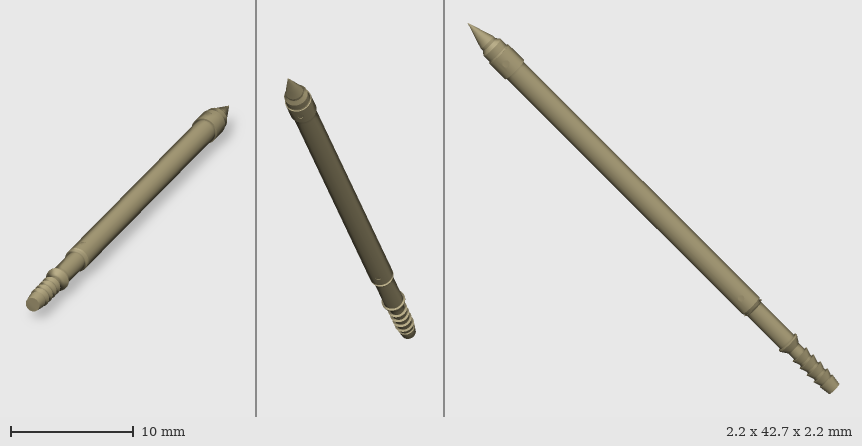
import cadquery as cq

length = 42.7
tip_y = length / 2

barrel_radius = 1.0
flare_radius = barrel_radius + 0.05
collar_radius = 1.1
tip_break_radius = 0.45
tip_band_radius = 0.73
flange_radius = barrel_radius
tail_radius = 0.8
bead_radius = barrel_radius
neck_radius = 0.6
barb_radius = tail_radius
last_barb_radius = 0.73

tip_break = 1.45
tip_band_start = 2.25
tip_band_end = 2.5
barrel_start = 2.85
flare_start = 3.5
collar_start = 3.65
collar_end = 5.45
barrel_taper_start = 32.95
flange_start = 33.2
tail_start = 33.35
bead_start = 37.25
bead_end = 37.35
neck_start = 37.95
first_barb = 38.7
last_barb = 41.75

barb_count = 4
barb_pitch = 0.8
barb_taper_length = 0.6

dimple_depth = 0.05
collar_dimple = 4.5
collar_dimple_radius = 0.3
barrel_dimple = 31.85
barrel_dimple_radius = 0.25


def barb_outline(start, radius, end):
    """Square shoulder, then a taper back down to the neck radius."""
    return [(neck_radius, start), (radius, start), (neck_radius, end)]


def probe_outline():
    """Half outline as (radius, distance from tip) points."""
    points = [
        (0, 0),
        (tip_break_radius, tip_break),
        (tip_band_radius, tip_band_start),
        (tip_band_radius, tip_band_end),
        (barrel_radius, barrel_start),
        (barrel_radius, flare_start),
        (flare_radius, collar_start),
        (collar_radius, collar_start),
        (collar_radius, collar_end),
        (barrel_radius, collar_end),
        (barrel_radius, barrel_taper_start),
        (tail_radius, flange_start),
        (flange_radius, flange_start),
        (tail_radius, tail_start),
        (tail_radius, bead_start),
        (bead_radius, bead_start),
        (bead_radius, bead_end),
        (neck_radius, neck_start),
    ]
    for i in range(barb_count):
        start = first_barb + i * barb_pitch
        points += barb_outline(start, barb_radius, start + barb_taper_length)
    points += barb_outline(last_barb, last_barb_radius, length)
    points.append((0, length))
    return points


def dimple_pair(distance, dimple_radius, surface_radius):
    """Cutters for round recesses at the top and bottom of a round surface."""
    floor_height = surface_radius - dimple_depth
    cutter = (
        cq.Workplane("XY", origin=(0, tip_y - distance, floor_height))
        .circle(dimple_radius)
        .extrude(2 * dimple_depth)
    )
    return cutter.union(cutter.mirror("XY"))


body = (
    cq.Workplane("XY")
    .polyline([(radius, tip_y - distance) for radius, distance in probe_outline()])
    .close()
    .revolve(360, (0, 0, 0), (0, 1, 0))
)

result = body.cut(dimple_pair(collar_dimple, collar_dimple_radius, collar_radius))
result = result.cut(dimple_pair(barrel_dimple, barrel_dimple_radius, barrel_radius))